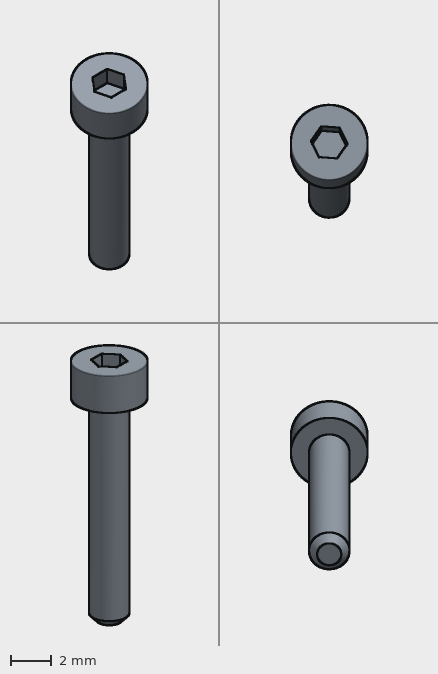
import cadquery as cq
import math

total_length = 14.0
head_diameter = 3.8
head_height = 2.0
head_edge_fillet = 0.03
shank_diameter = 2.0
tip_chamfer = 0.4
socket_across_flats = 1.55
socket_depth = 1.12

shank_length = total_length - head_height
socket_across_corners = socket_across_flats / math.cos(math.pi / 6)


def make_shank():
    """Plain cylindrical shank with a chamfered tip."""
    shank = cq.Workplane("XY").circle(shank_diameter / 2).extrude(shank_length)
    return shank.faces("<Z").chamfer(tip_chamfer)


def make_head():
    """Cylindrical head with a lightly rounded top rim."""
    head = (
        cq.Workplane("XY")
        .workplane(offset=shank_length)
        .circle(head_diameter / 2)
        .extrude(head_height)
    )
    return head.faces(">Z").edges().fillet(head_edge_fillet)


def make_socket():
    """Hexagonal key socket, with two corners on the X axis."""
    return (
        cq.Workplane("XY")
        .workplane(offset=total_length)
        .polygon(6, socket_across_corners)
        .extrude(-socket_depth)
    )


result = make_shank().union(make_head()).cut(make_socket())